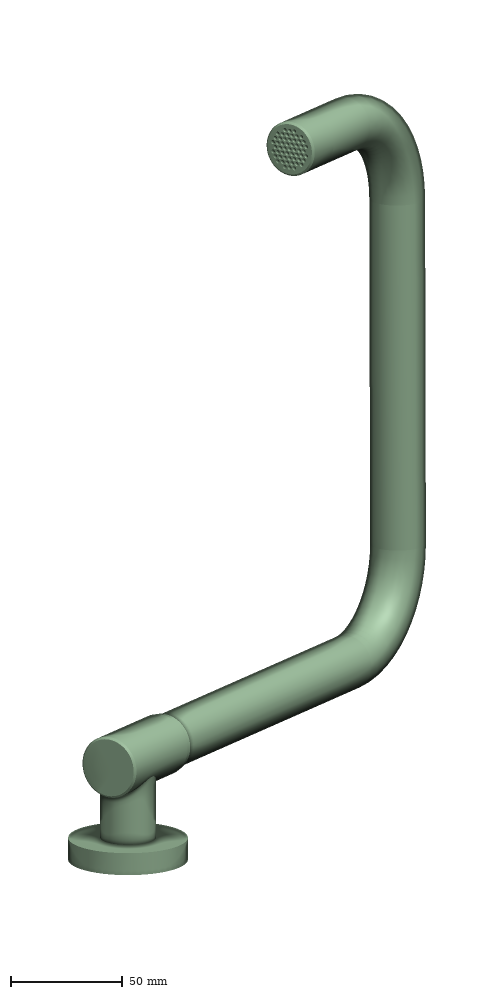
import cadquery as cq
import math

overall_height = 309.5
tube_diameter = 25.0

flange_diameter = 54.0
flange_thickness = 10.2

sleeve_diameter = 28.2
sleeve_axis_height = 46.8
sleeve_front_y = -17.3
sleeve_length = 46.0
sleeve_chamfer = 1.0

screw_hole_diameter = 3.7
screw_hole_depth = 4.5
screw_hole_inset = 7.7
screw_hole_angle = 45.0

collar_diameter = 27.2
collar_length = 3.0

back_face_y = 251.5
bend_radius = 45.0

nozzle_front_y = 144.0
nozzle_length = 17.5
nozzle_chamfer = 1.0

mesh_diameter = 21.5
mesh_pitch = 2.5
mesh_hole_diameter = 2.0
mesh_depth = 2.0

swing_angle = -0.15

sleeve_back_y = sleeve_front_y + sleeve_length
spout_start_y = sleeve_back_y + collar_length
nozzle_back_y = nozzle_front_y + nozzle_length
riser_y = back_face_y - tube_diameter / 2
outlet_height = overall_height - tube_diameter / 2


def rod_along_y(diameter, y_start, length, height):
    """Solid round bar parallel to Y, running toward +Y from y_start."""
    plane = cq.Plane(origin=(0, y_start, height), xDir=(1, 0, 0), normal=(0, 1, 0))
    return cq.Workplane(plane).circle(diameter / 2).extrude(length)


def make_pedestal():
    """Round flange with a post whose top is saddle-cut to seat the sleeve."""
    flange = cq.Workplane("XY").circle(flange_diameter / 2).extrude(flange_thickness)
    post = cq.Workplane("XY").circle(tube_diameter / 2).extrude(sleeve_axis_height)
    seat = rod_along_y(sleeve_diameter, -flange_diameter, 2 * flange_diameter, sleeve_axis_height)
    return flange.union(post).cut(seat)


def make_sleeve():
    """Horizontal cylinder with a chamfered front rim and a radial set-screw hole."""
    body = rod_along_y(sleeve_diameter, sleeve_front_y, sleeve_length, sleeve_axis_height)
    body = body.faces("<Y").chamfer(sleeve_chamfer)

    angle = math.radians(screw_hole_angle)
    outward = cq.Vector(-math.cos(angle), 0, -math.sin(angle))
    axis_point = cq.Vector(0, sleeve_back_y - screw_hole_inset, sleeve_axis_height)
    hole_floor = axis_point + outward * (sleeve_diameter / 2 - screw_hole_depth)
    screw_hole = cq.Solid.makeCylinder(
        screw_hole_diameter / 2, 2 * screw_hole_depth, hole_floor, outward
    )
    return body.cut(cq.Workplane(screw_hole))


def make_spout():
    """Tube bent twice into a C, with a short collar where it meets the sleeve."""
    corner = bend_radius * math.sin(math.radians(45))
    lower_bend_z = sleeve_axis_height + bend_radius
    upper_bend_z = outlet_height - bend_radius
    bend_y = riser_y - bend_radius
    path = (
        cq.Workplane("YZ")
        .moveTo(spout_start_y, sleeve_axis_height)
        .lineTo(bend_y, sleeve_axis_height)
        .threePointArc((bend_y + corner, lower_bend_z - corner), (riser_y, lower_bend_z))
        .lineTo(riser_y, upper_bend_z)
        .threePointArc((bend_y + corner, upper_bend_z + corner), (bend_y, outlet_height))
        .lineTo(nozzle_back_y, outlet_height)
    )
    start = cq.Plane(
        origin=(0, spout_start_y, sleeve_axis_height), xDir=(1, 0, 0), normal=(0, 1, 0)
    )
    tube = cq.Workplane(start).circle(tube_diameter / 2).sweep(path)
    collar = rod_along_y(collar_diameter, sleeve_back_y, collar_length, sleeve_axis_height)
    return tube.union(collar)


def mesh_hole_centres():
    """Triangular grid of the holes that fit wholly inside the mesh circle."""
    row_spacing = mesh_pitch * math.sin(math.radians(60))
    reach = (mesh_diameter - mesh_hole_diameter) / 2
    row_count = math.floor(reach / row_spacing)
    column_count = math.ceil(reach / mesh_pitch)
    centres = []
    for row in range(-row_count, row_count + 1):
        stagger = (row % 2) * mesh_pitch / 2
        for column in range(-column_count, column_count + 1):
            across = column * mesh_pitch + stagger
            up = row * row_spacing
            if math.hypot(across, up) <= reach:
                centres.append((across, up))
    return centres


def make_nozzle():
    """Outlet end piece with a chamfered rim and a mesh of small blind holes in its face."""
    body = rod_along_y(tube_diameter, nozzle_front_y, nozzle_length, outlet_height)
    body = body.faces("<Y").chamfer(nozzle_chamfer)

    face = cq.Plane(origin=(0, nozzle_front_y, outlet_height), xDir=(1, 0, 0), normal=(0, 1, 0))
    holes = (
        cq.Workplane(face)
        .pushPoints(mesh_hole_centres())
        .circle(mesh_hole_diameter / 2)
        .extrude(mesh_depth)
    )
    return body.cut(holes)


def swing(body):
    """Lean a body about the axis of the sleeve."""
    axis_start = (0, 0, sleeve_axis_height)
    axis_end = (0, 1, sleeve_axis_height)
    return body.rotate(axis_start, axis_end, swing_angle)


pedestal = make_pedestal()
sleeve = make_sleeve()
spout = swing(make_spout())
nozzle = swing(make_nozzle())

result = cq.Compound.makeCompound([pedestal.val(), sleeve.val(), spout.val(), nozzle.val()])